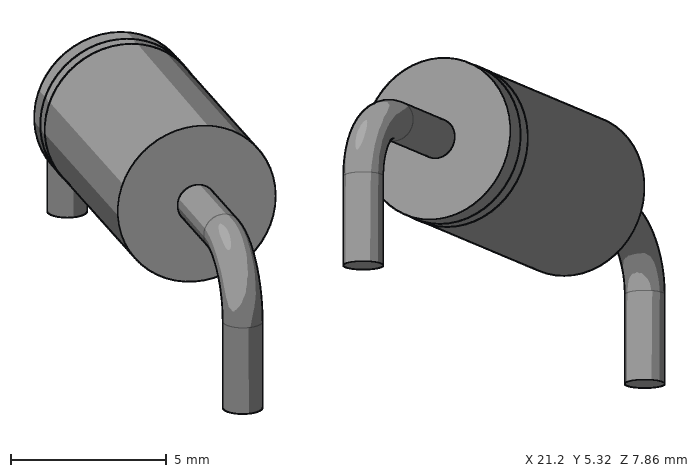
import cadquery as cq

overall_length = 21.2
body_diameter = 5.3
body_length = 9.5
band_diameter = 5.32
band_width = 0.5
band_offset = 0.72
lead_diameter = 1.3
bend_radius = 2.25
lead_drop = 5.2

body_end = body_length / 2
lead_reach = (overall_length - lead_diameter) / 2
bend_start = lead_reach - bend_radius


def make_body():
    """Plain cylindrical component body."""
    return (
        cq.Workplane("YZ", origin=(-body_end, 0, 0))
        .circle(body_diameter / 2)
        .extrude(body_length)
    )


def make_band():
    """Thin polarity sleeve around the body near its -X end."""
    return (
        cq.Workplane("YZ", origin=(-body_end + band_offset, 0, 0))
        .circle(band_diameter / 2)
        .circle(body_diameter / 2)
        .extrude(band_width)
    )


def make_lead(side):
    """Round wire from the body end face, bent down; side is -1 or +1 along X."""
    centreline = (
        cq.Workplane("XZ")
        .moveTo(side * body_end, 0)
        .lineTo(side * bend_start, 0)
        .tangentArcPoint((side * lead_reach, -bend_radius), relative=False)
        .lineTo(side * lead_reach, -lead_drop)
    )
    return (
        cq.Workplane("YZ", origin=(side * body_end, 0, 0))
        .circle(lead_diameter / 2)
        .sweep(centreline)
    )


body = make_body()
band = make_band()
leads = [make_lead(side) for side in (-1, 1)]

result = cq.Compound.makeCompound([body.val(), band.val(), *[lead.val() for lead in leads]])